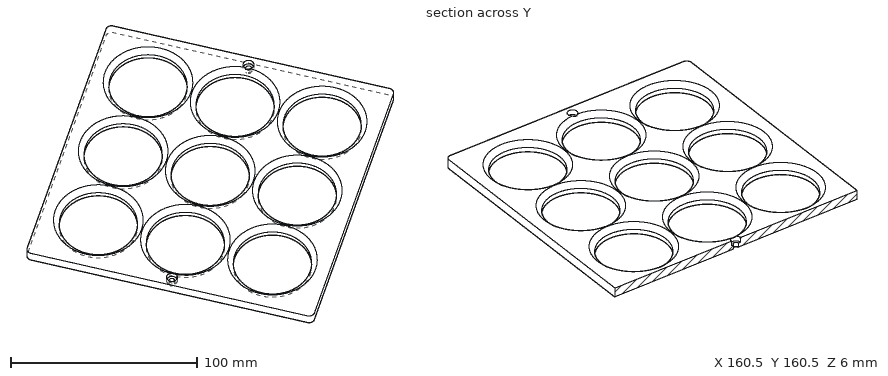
import cadquery as cq

side = 160.5
thickness = 6.0
corner_radius = 3.0

openings_per_side = 3
opening_pitch = 48.6
opening_diameter = 42.0
lead_in = 3.0

screw_diameter = 3.0
screw_head_diameter = 5.8
screw_head_depth = 3.0
screw_edge_distance = 5.3
screw_offset = side / 2 - screw_edge_distance


def make_plate():
    plate = cq.Workplane("XY").box(side, side, thickness, centered=(True, True, False))
    return plate.edges("|Z").fillet(corner_radius)


def make_opening_cutter():
    """Through cylinder that widens at 45 degrees up to the top face."""
    radius = opening_diameter / 2
    profile = (
        cq.Workplane("XZ")
        .lineTo(radius, 0)
        .lineTo(radius, thickness - lead_in)
        .lineTo(radius + lead_in, thickness)
        .lineTo(0, thickness)
        .close()
    )
    return profile.revolve(360, (0, 0, 0), (0, 1, 0))


def cut_openings(plate):
    cutter = make_opening_cutter()
    middle = (openings_per_side - 1) / 2
    for column in range(openings_per_side):
        for row in range(openings_per_side):
            x = (column - middle) * opening_pitch
            y = (row - middle) * opening_pitch
            plate = plate.cut(cutter.translate((x, y, 0)))
    return plate


def cut_screw_holes(plate):
    """Counterbored through holes near the front and back edges."""
    return (
        plate.faces(">Z")
        .workplane(origin=(0, 0, thickness))
        .pushPoints([(0, -screw_offset), (0, screw_offset)])
        .cboreHole(screw_diameter, screw_head_diameter, screw_head_depth)
    )


result = cut_screw_holes(cut_openings(make_plate()))